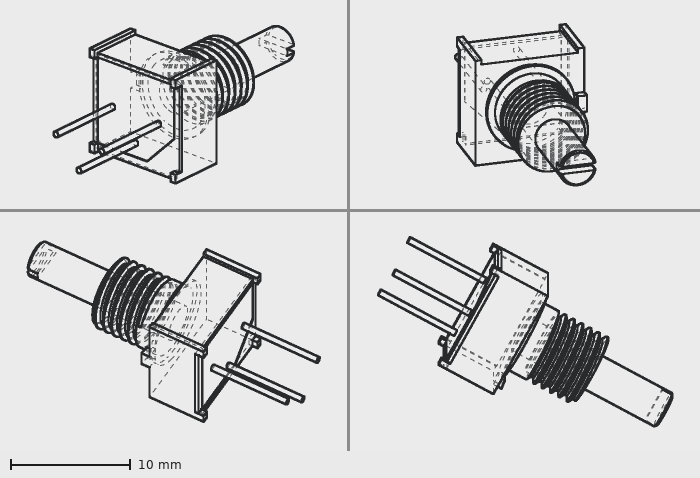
import cadquery as cq
import math

OVERLAP = 0.25

HOUSING_SIZE = 9.53
HALF_SIZE = HOUSING_SIZE / 2
BODY_DEPTH = 4.82
FOOT_DEPTH = 5.23
WALL = 0.55
FOOT_HEIGHT = 0.8
TOP_RECESS = 0.39
LUG_WIDTH = 1.47
LUG_HEIGHT = 0.77
LUG_INNER_HEIGHT = 0.7
LUG_LENGTH = 0.77

COVER_THICKNESS = 0.33
PAD_HEIGHT = 0.08
PAD_CORNER_CUT = 3.0
COVER_BACK = BODY_DEPTH - PAD_HEIGHT
COVER_FRONT = COVER_BACK - COVER_THICKNESS
COVER_TOP = HALF_SIZE - FOOT_HEIGHT
PAD_HALF_WIDTH = HALF_SIZE - WALL

FLANGE_RADIUS = 3.85
FLANGE_THICKNESS = 0.39
BUSHING_RADIUS = 3.17
BUSHING_LENGTH = 6.67
FIVE_TURN_LENGTH = 3.97
THREAD_PITCH = FIVE_TURN_LENGTH / 5
THREAD_DEPTH = 0.39
ROOT_FLAT = 0.23
FLANK_ANGLE = 30.0
THREAD_LIMIT = 1.93
GROOVE_START = 1.85
GROOVE_START_ANGLE = -155.0

SHAFT_DIAMETER = 3.17
SHAFT_RADIUS = SHAFT_DIAMETER / 2
SHAFT_TIP = 13.7
SHAFT_CHAMFER = 0.15
SLOT_WIDTH = 0.65
SLOT_DEPTH = 1.03

OVERALL_LENGTH = 25.75
PIN_DIAMETER = 0.55
PIN_RADIUS = PIN_DIAMETER / 2
PIN_SPACING = 2.55
PIN_ROW_Z = -0.08
PIN_TIP = OVERALL_LENGTH - SHAFT_TIP
PIN_CENTRES = [
    (-PIN_SPACING, PIN_ROW_Z),
    (0, PIN_ROW_Z - PIN_SPACING),
    (PIN_SPACING, PIN_ROW_Z),
]


def block(x_range, y_range, z_range):
    """Box spanning the given ranges."""
    (x0, x1), (y0, y1), (z0, z1) = x_range, y_range, z_range
    return cq.Workplane("XY").box(x1 - x0, y1 - y0, z1 - z0, centered=False).translate((x0, y0, z0))


def rod(radius, y_start, y_end, x=0, z=0):
    """Cylinder along Y."""
    direction = cq.Vector(0, 1, 0)
    return cq.Workplane(cq.Solid.makeCylinder(radius, y_end - y_start, cq.Vector(x, y_start, z), direction))


def make_cover():
    """Back plate reaching out between the feet, with a raised pad that has one cut corner."""
    plate_depths = (-COVER_BACK, -COVER_FRONT)
    centre = block((-PAD_HALF_WIDTH, PAD_HALF_WIDTH), plate_depths, (-HALF_SIZE, COVER_TOP))
    sides = block((-HALF_SIZE, HALF_SIZE), plate_depths, (-COVER_TOP, COVER_TOP))
    pad = (
        cq.Workplane("XZ", origin=(0, -COVER_BACK, 0))
        .moveTo(-PAD_HALF_WIDTH, COVER_TOP)
        .lineTo(PAD_HALF_WIDTH, COVER_TOP)
        .lineTo(PAD_HALF_WIDTH, -COVER_TOP + PAD_CORNER_CUT)
        .lineTo(PAD_HALF_WIDTH - PAD_CORNER_CUT, -COVER_TOP)
        .lineTo(-PAD_HALF_WIDTH, -COVER_TOP)
        .close()
        .extrude(PAD_HEIGHT)
    )
    return centre.union(sides).union(pad)


def make_lug():
    """Locating lug on the front face, sloping down inward, with a low foot that meets the flange."""
    half_width = LUG_WIDTH / 2
    lug = (
        cq.Workplane("XY")
        .moveTo(-HALF_SIZE, 0)
        .lineTo(-HALF_SIZE, LUG_HEIGHT)
        .lineTo(-HALF_SIZE + LUG_LENGTH, LUG_INNER_HEIGHT)
        .lineTo(-HALF_SIZE + LUG_LENGTH, 0)
        .close()
        .extrude(half_width, both=True)
    )
    foot = block((-HALF_SIZE, -BUSHING_RADIUS), (0, FLANGE_THICKNESS), (-half_width, half_width))
    return lug.union(foot).cut(rod(FLANGE_RADIUS, 0, LUG_HEIGHT))


def make_housing(cover):
    """Square case with side walls, four corner feet and a seat for the cover."""
    full = (-HALF_SIZE, HALF_SIZE)
    case = block(full, (-FOOT_DEPTH, 0), full)
    inner = (-PAD_HALF_WIDTH, PAD_HALF_WIDTH)
    top_recess = block(inner, (-FOOT_DEPTH, 0), (HALF_SIZE - TOP_RECESS, HALF_SIZE))
    between_walls = block(inner, (-FOOT_DEPTH, -BODY_DEPTH), full)
    below_pad = block(inner, (-FOOT_DEPTH, -COVER_BACK), (-HALF_SIZE, -COVER_TOP))
    between_feet = block(full, (-FOOT_DEPTH, -COVER_FRONT), (-COVER_TOP, COVER_TOP))
    for cutter in (top_recess, between_walls, below_pad, between_feet, cover):
        case = case.cut(cutter)
    return case.union(make_lug())


def make_thread_groove():
    """Right-handed V groove with a flat root, running off the front end of the bushing."""
    root_radius = BUSHING_RADIUS - THREAD_DEPTH
    outer_radius = BUSHING_RADIUS + OVERLAP / 4
    half_root = ROOT_FLAT / 2
    half_mouth = half_root + (outer_radius - root_radius) * math.tan(math.radians(FLANK_ANGLE))
    height = BUSHING_LENGTH + THREAD_PITCH - GROOVE_START
    helix = cq.Wire.makeHelix(THREAD_PITCH, height, root_radius)
    groove = (
        cq.Workplane("XZ")
        .polyline([
            (root_radius, -half_root),
            (outer_radius, -half_mouth),
            (outer_radius, half_mouth),
            (root_radius, half_root),
        ])
        .close()
        .sweep(cq.Workplane(helix), isFrenet=True)
    )
    return (
        groove.rotate((0, 0, 0), (0, 0, 1), GROOVE_START_ANGLE)
        .translate((0, 0, GROOVE_START))
        .rotate((0, 0, 0), (1, 0, 0), -90)
    )


def make_bushing():
    """Flanged sleeve with an external thread."""
    grooved = rod(BUSHING_RADIUS, 0, BUSHING_LENGTH + 2 * THREAD_PITCH).cut(make_thread_groove())
    threaded = grooved.intersect(rod(BUSHING_RADIUS + OVERLAP, THREAD_LIMIT, BUSHING_LENGTH))
    sleeve = rod(BUSHING_RADIUS, 0, THREAD_LIMIT).union(rod(FLANGE_RADIUS, 0, FLANGE_THICKNESS))
    return sleeve.union(threaded).cut(rod(SHAFT_RADIUS, 0, BUSHING_LENGTH))


def make_shaft():
    """Control shaft with a chamfered tip and a screwdriver slot."""
    shaft = rod(SHAFT_RADIUS, 0, SHAFT_TIP).faces(">Y").chamfer(SHAFT_CHAMFER)
    slot = block(
        (-SHAFT_RADIUS, SHAFT_RADIUS),
        (SHAFT_TIP - SLOT_DEPTH, SHAFT_TIP),
        (-SLOT_WIDTH / 2, SLOT_WIDTH / 2),
    )
    return shaft.cut(slot)


def make_pin(x, z):
    """Round terminal pin standing on the back of the cover."""
    return rod(PIN_RADIUS, -PIN_TIP, -BODY_DEPTH, x, z)


cover = make_cover()
housing = make_housing(cover)
bushing = make_bushing()
shaft = make_shaft()
pins = [make_pin(x, z) for x, z in PIN_CENTRES]

result = cq.Compound.makeCompound([
    housing.val(),
    cover.val(),
    bushing.val(),
    shaft.val(),
    *[pin.val() for pin in pins],
])